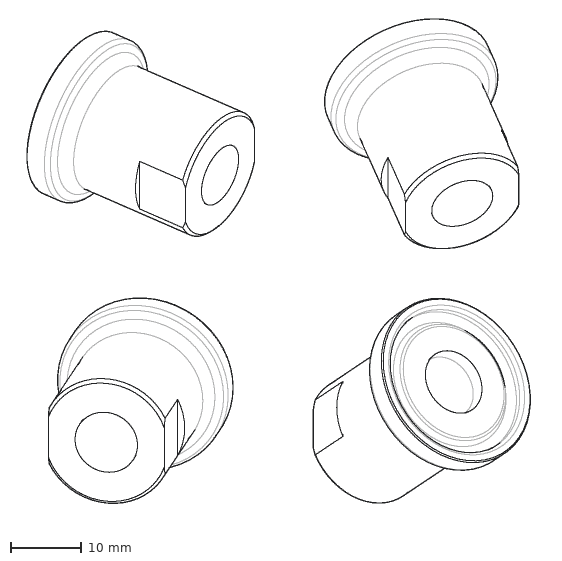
import cadquery as cq
import math

length = 25.0
flange_radius = 12.5
body_radius = 9.52
end_chamfer = 0.5

rim_edge_chamfer = 0.2
back_slope = math.radians(20)
rim_fillet = 0.75
neck_fillet = 2.0
neck_end = 6.2

lip_radius = 11.4
lip_fillet = 0.5
groove_wall_depth = 1.4
groove_fillet = 0.8
center_face_depth = 0.8
center_face_radius = 8.45
center_face_fillet = 0.5

bore_radius = 4.58
bore_mouth_radius = 4.75
bore_taper_end = 2.88

across_flats = 17.0
flat_length = 8.0


def arc_point(center, radius, angle):
    """Point on a circle in the (x, radial distance) plane, angle from +X."""
    return center[0] + radius * math.cos(angle), center[1] + radius * math.sin(angle)


def body_profile():
    """Closed half section in the (x, radial distance) plane."""
    neck_center = (neck_end, body_radius + neck_fillet)
    slope_end = arc_point(neck_center, neck_fillet, math.pi + back_slope)
    neck_middle = arc_point(neck_center, neck_fillet, 1.25 * math.pi + back_slope / 2)
    rim_center_radius = flange_radius - rim_fillet
    slope_start_radius = rim_center_radius + rim_fillet * math.sin(back_slope)
    slope_start_x = slope_end[0] - (slope_start_radius - slope_end[1]) * math.tan(back_slope)
    rim_center = (slope_start_x - rim_fillet * math.cos(back_slope), rim_center_radius)
    rim_middle = arc_point(rim_center, rim_fillet, (math.pi / 2 + back_slope) / 2)

    wall_radius = lip_radius - lip_fillet
    groove_center = (groove_wall_depth, wall_radius - groove_fillet)
    face_center = (center_face_depth + center_face_fillet, center_face_radius)
    step_x = groove_center[0] - face_center[0]
    step_radial = groove_center[1] - face_center[1]
    center_distance = math.hypot(step_x, step_radial)
    inner_slope = math.atan2(step_x, step_radial) + math.asin(
        (groove_fillet + center_face_fillet) / center_distance
    )
    inner_normal = math.pi - inner_slope
    face_fillet_end = arc_point(face_center, center_face_fillet, inner_normal)
    face_fillet_middle = arc_point(face_center, center_face_fillet, (math.pi + inner_normal) / 2)
    groove_start = arc_point(groove_center, groove_fillet, -inner_slope)
    groove_middle = arc_point(groove_center, groove_fillet, (math.pi / 2 - inner_slope) / 2)
    lip_center = (lip_fillet, lip_radius)
    lip_middle = arc_point(lip_center, lip_fillet, 1.25 * math.pi)

    return (
        cq.Workplane("XY")
        .moveTo(length, bore_radius)
        .lineTo(bore_taper_end, bore_radius)
        .lineTo(center_face_depth, bore_mouth_radius)
        .lineTo(center_face_depth, center_face_radius)
        .threePointArc(face_fillet_middle, face_fillet_end)
        .lineTo(*groove_start)
        .threePointArc(groove_middle, (groove_wall_depth, wall_radius))
        .lineTo(lip_fillet, wall_radius)
        .threePointArc(lip_middle, (0, lip_radius))
        .lineTo(0, flange_radius - rim_edge_chamfer)
        .lineTo(rim_edge_chamfer, flange_radius)
        .lineTo(rim_center[0], flange_radius)
        .threePointArc(rim_middle, (slope_start_x, slope_start_radius))
        .lineTo(*slope_end)
        .threePointArc(neck_middle, (neck_end, body_radius))
        .lineTo(length - end_chamfer, body_radius)
        .lineTo(length, body_radius - end_chamfer)
        .close()
    )


def flat_cutter(side):
    """Block outside one wrench flat; side is +1 or -1 along Y."""
    block_depth = flange_radius
    block_center_y = side * (across_flats + block_depth) / 2
    return cq.Workplane("XY").box(flat_length, block_depth, 2 * flange_radius).translate(
        (length - flat_length / 2, block_center_y, 0)
    )


result = body_profile().revolve(360, (0, 0, 0), (1, 0, 0))
for flat_side in (-1, 1):
    result = result.cut(flat_cutter(flat_side))